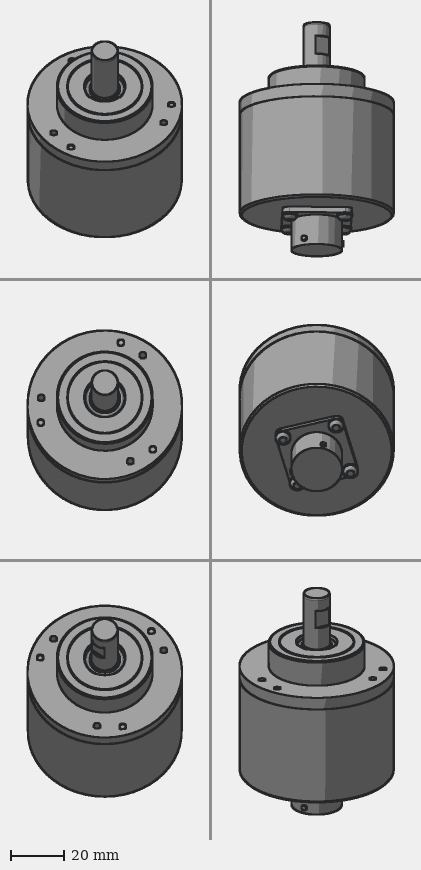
import cadquery as cq
import math

flange_thickness = 4.8
body_bottom = -43.5
boss_height = 10.0
shaft_top = 30.0
hub_bottom = -57.0

flange_diameter = 58.0
body_diameter = 57.8
body_chamfer = 0.8
boss_diameter = 36.0
boss_chamfer = 0.5

groove_outer_diameter = 28.2
groove_inner_diameter = 27.7
groove_depth = 0.3
recess_depth = 1.45
recess_wall_depth = 1.3
recess_top_diameter = 15.5
recess_wall_end_diameter = 14.7
recess_floor_diameter = 13.3

shaft_diameter = 10.0
shaft_lead_in_height = 0.9
shaft_lead_in_width = 0.25
collar_diameter = 11.5
collar_height = 0.45
flat_distance = 4.0
flat_from_end = 5.2
flat_length = 7.0

holes_per_circle = 3
flange_hole_diameter = 2.5
tapped_circle_radius = 24.0
tapped_start_angle = 0.0
tapped_depth = 8.0
drill_point_angle = 118.0
dimple_circle_radius = 25.0
dimple_start_angle = 22.5
dimple_depth = 0.6

screw_count = 4
screw_circle_radius = 14.6
screw_start_angle = 15.0
plate_thickness = 2.1
plate_side = 26.0
plate_corner_radius = 2.5
head_diameter = 5.7
head_end_diameter = 2.8
head_rim_height = 0.75
head_height = 2.35
head_dome_bulge = 0.2

hub_diameter = 19.0
set_screw_count = 3
set_screw_start_angle = 30.0
set_screw_diameter = 2.0
set_screw_reach = 10.1
set_screw_from_end = 2.5

plate_bottom = body_bottom - plate_thickness


def disc(diameter, bottom, top):
    """Cylinder about the Z axis between two heights."""
    return cq.Workplane("XY").workplane(offset=bottom).circle(diameter / 2).extrude(top - bottom)


def cone(bottom_diameter, top_diameter, bottom, height):
    """Truncated cone about the Z axis, standing on the given height."""
    solid = cq.Solid.makeCone(bottom_diameter / 2, top_diameter / 2, height, cq.Vector(0, 0, bottom))
    return cq.Workplane(solid)


def polar_points(radius, start_angle, count):
    """Evenly spaced XY points on a circle about the Z axis."""
    angles = [math.radians(start_angle + i * 360 / count) for i in range(count)]
    return [(radius * math.cos(a), radius * math.sin(a)) for a in angles]


def make_housing():
    """Chamfered body, wider flange, and boss with its groove and recess."""
    body = disc(body_diameter, body_bottom, -flange_thickness).faces("<Z").chamfer(body_chamfer)
    flange = disc(flange_diameter, -flange_thickness, 0)
    boss = disc(boss_diameter, 0, boss_height).faces(">Z").chamfer(boss_chamfer)
    groove_bottom = boss_height - groove_depth
    groove = disc(groove_outer_diameter, groove_bottom, boss_height).cut(
        disc(groove_inner_diameter, groove_bottom, boss_height)
    )
    recess_floor = boss_height - recess_depth
    neck_height = recess_depth - recess_wall_depth
    neck = cone(recess_floor_diameter, recess_wall_end_diameter, recess_floor, neck_height)
    wall = cone(
        recess_wall_end_diameter, recess_top_diameter, recess_floor + neck_height, recess_wall_depth
    )
    recess = neck.union(wall)
    return body.union(flange).union(boss).cut(groove).cut(recess)


def make_shaft():
    """Shaft with a tapered tip, a tapered collar and one flat on its +Y side."""
    recess_floor = boss_height - recess_depth
    shaft = disc(shaft_diameter, 0, shaft_top)
    shaft = shaft.faces(">Z").chamfer(shaft_lead_in_height, shaft_lead_in_width)
    collar = cone(collar_diameter, shaft_diameter, recess_floor, collar_height)
    flat_depth = shaft_diameter / 2 - flat_distance
    flat_cutter = (
        cq.Workplane("XY")
        .box(shaft_diameter, flat_depth, flat_length, centered=(True, False, False))
        .translate((0, flat_distance, shaft_top - flat_from_end - flat_length))
    )
    return shaft.cut(flat_cutter).union(collar)


def cut_flange_holes(part):
    """Tapped holes with drill points, and flat-bottomed dimples."""
    radius = flange_hole_diameter / 2
    point_height = radius / math.tan(math.radians(drill_point_angle / 2))
    tapped = disc(flange_hole_diameter, -tapped_depth, 0).union(
        cone(0, flange_hole_diameter, -tapped_depth - point_height, point_height)
    )
    dimple = disc(flange_hole_diameter, -dimple_depth, 0)
    for x, y in polar_points(tapped_circle_radius, tapped_start_angle, holes_per_circle):
        part = part.cut(tapped.translate((x, y, 0)))
    for x, y in polar_points(dimple_circle_radius, dimple_start_angle, holes_per_circle):
        part = part.cut(dimple.translate((x, y, 0)))
    return part


def make_rear_plate():
    """Square plate with rounded corners, turned so that each corner carries a screw."""
    corner_angle = 45.0
    return (
        cq.Workplane("XY")
        .box(plate_side, plate_side, plate_thickness, centered=(True, True, False))
        .edges("|Z")
        .fillet(plate_corner_radius)
        .rotate((0, 0, 0), (0, 0, 1), screw_start_angle - corner_angle)
        .translate((0, 0, plate_bottom))
    )


def make_screw_heads():
    """Button heads below the plate: a short rim, then a dome with a flat end."""
    rim_radius = head_diameter / 2
    end_radius = head_end_diameter / 2
    rim_bottom = plate_bottom - head_rim_height
    head_bottom = plate_bottom - head_height
    head = (
        cq.Workplane("XZ")
        .moveTo(0, plate_bottom)
        .lineTo(rim_radius, plate_bottom)
        .lineTo(rim_radius, rim_bottom)
        .sagittaArc((end_radius, head_bottom), head_dome_bulge)
        .lineTo(0, head_bottom)
        .close()
        .revolve(360, (0, 0), (0, 1))
    )
    heads = cq.Workplane("XY")
    for x, y in polar_points(screw_circle_radius, screw_start_angle, screw_count):
        heads = heads.add(head.translate((x, y, 0)))
    return heads.combine()


def make_hub():
    """Rear hub with set screws standing slightly proud of its side."""
    hub = disc(hub_diameter, hub_bottom, plate_bottom)
    set_screw = (
        cq.Workplane("YZ")
        .circle(set_screw_diameter / 2)
        .extrude(set_screw_reach)
        .translate((0, 0, hub_bottom + set_screw_from_end))
    )
    for i in range(set_screw_count):
        angle = set_screw_start_angle + i * 360 / set_screw_count
        hub = hub.union(set_screw.rotate((0, 0, 0), (0, 0, 1), angle))
    return hub


result = make_housing().union(make_shaft())
result = cut_flange_holes(result)
result = result.union(make_rear_plate()).union(make_screw_heads()).union(make_hub())